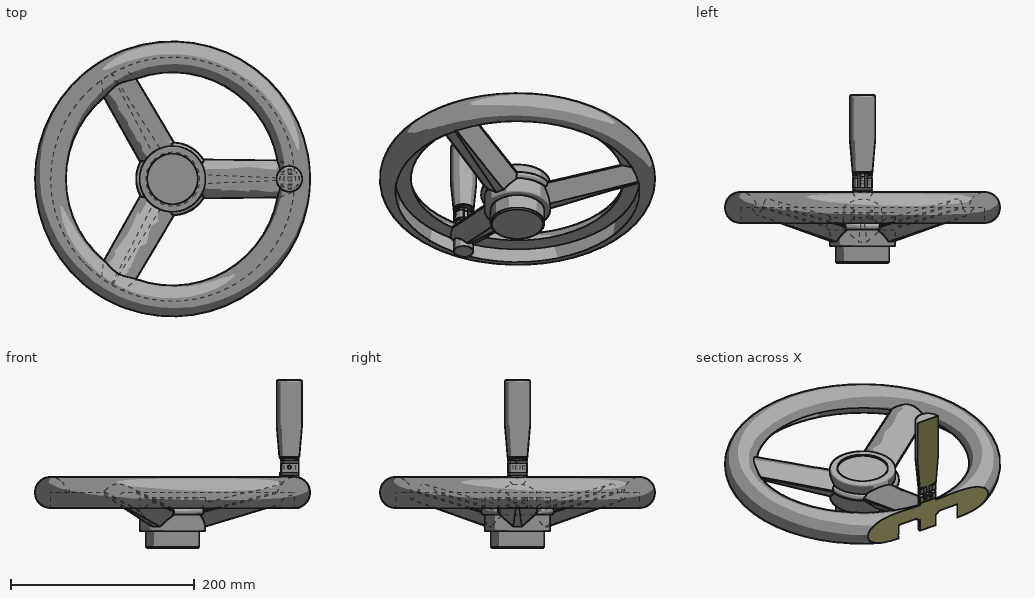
import cadquery as cq
import math

wheel_diameter = 300.0
tube_diameter = 34.0
rim_radius = (wheel_diameter - tube_diameter) / 2
rim_height = 60.5

hub_diameter = 71.7
hub_bottom = 18.2
hub_top = 55.5
hub_rounding = 1.8
spigot_diameter = 58.8
spigot_chamfer = 1.6
cap_recess_diameter = 55.0
cap_recess_depth = 1.8
bead_radius = 3.9
bead_height = 40.1

spoke_count = 3
spoke_side_thickness = 1.6
spoke_start = 10.0
spoke_end = rim_radius
crest_at_axis, crest_slope = 41.2, 0.242
side_at_axis, side_slope = 32.0, 0.26
belly_at_axis, belly_slope = 12.4, 0.303
half_width_at_axis, half_width_slope = 21.7, -0.012
keel_half_width_at_axis, keel_half_width_slope = 6.2, -0.042

handle_radius_on_wheel = 127.3
boss_diameter = 21.0
boss_bottom = rim_height - tube_diameter / 2
boss_top = 79.4

socket_top = 97.0
gap_height = 0.8
band_bottom = 92.1
band_height = 2.7
band_depth = 0.2
neck_diameter = 13.08

slot_width = 10.0
slot_floor = boss_top + band_height
slot_back = 6.5
tongue_width = 4.5
tongue_front = 6.0
tongue_flat_top = 93.8
pin_hole_diameter = 3.2
pin_height = 88.1

grip_bottom = socket_top + gap_height
grip_bottom_diameter = 22.0
collar_height = 1.4
grip_diameter = 28.0
grip_taper_top = 133.8
grip_top = 183.2
grip_rounding = 2.5


def cylinder(diameter, bottom, top):
    """Upright cylinder on the Z axis."""
    return cq.Workplane("XY").workplane(offset=bottom).circle(diameter / 2).extrude(top - bottom)


def make_rim():
    """Ring of round tube whose inner lower quarter is left out."""
    tube_radius = tube_diameter / 2
    diagonal = tube_radius * math.sqrt(0.5)
    profile = (
        cq.Workplane("XZ")
        .moveTo(rim_radius, rim_height)
        .lineTo(rim_radius, rim_height - tube_radius)
        .threePointArc(
            (rim_radius + diagonal, rim_height + diagonal),
            (rim_radius - tube_radius, rim_height),
        )
        .close()
    )
    return profile.revolve(360, (0, 0, 0), (0, 1, 0))


def make_hub():
    drum = cylinder(hub_diameter, hub_bottom, hub_top).faces("<Z or >Z").edges().fillet(hub_rounding)
    spigot = cylinder(spigot_diameter, 0, hub_bottom).faces("<Z").chamfer(spigot_chamfer)
    bead_profile = cq.Workplane("XZ").center(hub_diameter / 2, bead_height).circle(bead_radius)
    bead = bead_profile.revolve(360, (-hub_diameter / 2, 0, 0), (-hub_diameter / 2, 1, 0))
    return drum.union(spigot).union(bead)


def spoke_section(distance):
    """Closed outline across a spoke along +X, at a distance from the wheel axis."""
    half_width = half_width_at_axis + half_width_slope * distance
    crest = crest_at_axis + crest_slope * distance
    side_top = side_at_axis + side_slope * distance
    side_bottom = side_top - spoke_side_thickness
    keel_half_width = keel_half_width_at_axis + keel_half_width_slope * distance
    belly = belly_at_axis + belly_slope * distance
    outline = (
        cq.Workplane("YZ", origin=(distance, 0, 0))
        .moveTo(-half_width, side_bottom)
        .lineTo(-half_width, side_top)
        .threePointArc((0, crest), (half_width, side_top))
        .lineTo(half_width, side_bottom)
        .lineTo(keel_half_width, belly)
        .lineTo(-keel_half_width, belly)
        .close()
    )
    return outline.val()


def make_spoke(angle):
    sections = [spoke_section(spoke_start), spoke_section(spoke_end)]
    spoke = cq.Workplane(cq.Solid.makeLoft(sections, True))
    return spoke.rotate((0, 0, 0), (0, 0, 1), angle)


def make_handle_boss():
    boss = cylinder(boss_diameter, boss_bottom, boss_top)
    return boss.translate((handle_radius_on_wheel, 0, 0))


def make_wheel():
    wheel = make_rim().union(make_hub())
    for i in range(spoke_count):
        wheel = wheel.union(make_spoke(i * 360 / spoke_count))
    wheel = wheel.union(make_handle_boss())
    return wheel.cut(cylinder(cap_recess_diameter, hub_top - cap_recess_depth, hub_top))


def make_socket():
    """Forked base of the handle, slotted towards the wheel axis (-X)."""
    socket = cylinder(boss_diameter, boss_top, socket_top)
    for bottom in (boss_top, band_bottom):
        top = bottom + band_height
        core = cylinder(boss_diameter - 2 * band_depth, bottom, top)
        socket = socket.cut(cylinder(boss_diameter, bottom, top).cut(core))
    slot_length = boss_diameter / 2 + slot_back
    slot = cq.Workplane("XY", origin=(slot_back, 0, slot_floor)).box(
        slot_length, slot_width, socket_top - slot_floor, centered=(False, True, False)
    )
    return socket.cut(slot.translate((-slot_length, 0, 0)))


def make_tongue():
    """Narrow blade in the slot, with a round upper end that continues the neck."""
    blade = cq.Workplane("XY", origin=(-tongue_front, 0, slot_floor)).box(
        tongue_front + slot_back, tongue_width, socket_top - slot_floor, centered=(False, True, False)
    )
    round_end = cylinder(neck_diameter, tongue_flat_top, socket_top).intersect(
        cq.Workplane("XY").box(neck_diameter, tongue_width, 2 * socket_top)
    )
    return blade.union(round_end)


def make_grip():
    neck = cylinder(neck_diameter, socket_top, grip_bottom)
    taper_bottom = grip_bottom + collar_height
    grip = (
        cq.Workplane("XZ")
        .moveTo(0, grip_bottom)
        .lineTo(boss_diameter / 2, grip_bottom)
        .lineTo(boss_diameter / 2, taper_bottom)
        .lineTo(grip_bottom_diameter / 2, taper_bottom)
        .lineTo(grip_diameter / 2, grip_taper_top)
        .lineTo(grip_diameter / 2, grip_top)
        .lineTo(0, grip_top)
        .close()
        .revolve(360, (0, 0, 0), (0, 1, 0))
        .faces(">Z")
        .edges()
        .fillet(grip_rounding)
    )
    return grip.union(neck)


def make_handle():
    handle = make_socket().union(make_tongue()).union(make_grip())
    pin_hole = (
        cq.Workplane("XZ")
        .center(0, pin_height)
        .circle(pin_hole_diameter / 2)
        .extrude(boss_diameter, both=True)
    )
    return handle.cut(pin_hole).translate((handle_radius_on_wheel, 0, 0))


wheel = make_wheel()
handle = make_handle()
result = cq.Compound.makeCompound([wheel.val(), handle.val()])